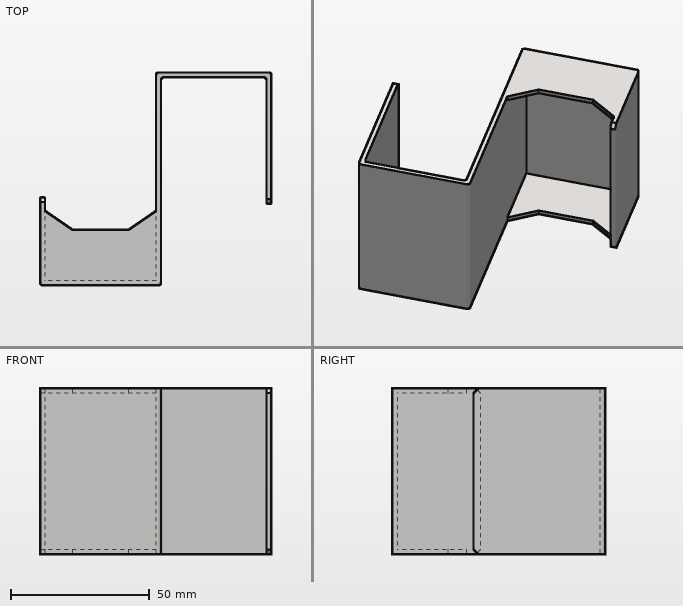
import cadquery as cq

width = 83.4
depth = 76.8
height = 60.0

wall = 1.8
tray_inner_width = 39.95
tray_width = tray_inner_width + 2 * wall
tray_lip_y = 31.8
hook_lip_y = 29.35
outer_corner_radius = 1.0
inner_corner_radius = 1.0
lip_edge_radius = 0.7
lip_corner_chamfer = 1.75

plate_thickness = 1.75
plate_side_y = 28.1
plate_notch_y = 20.1
plate_notch_inset = 11.7

middle_left = tray_width - wall
hook_inner_right = width - wall
hook_inner_y = depth - wall


def edge_at(x, y):
    """Select the vertical edge standing at one point of the outline."""
    tolerance = 0.04
    return cq.selectors.BoxSelector(
        (x - tolerance, y - tolerance, -0.8),
        (x + tolerance, y + tolerance, height + 0.8),
    )


def round_edges(body, points, radius):
    for x, y in points:
        body = body.edges("|Z").edges(edge_at(x, y)).fillet(radius)
    return body


def chamfer_lip(body, x_start, lip_y, selector):
    """Cut the top and bottom corners of a free lip."""
    lip_face = cq.selectors.BoxSelector(
        (x_start - 0.1, lip_y - 0.1, -0.8),
        (x_start + wall + 0.1, lip_y + 0.1, height + 0.8),
    )
    return body.faces(selector).edges(lip_face).edges("|X").chamfer(lip_corner_chamfer)


def bent_sheet():
    outline = [
        (0, 0),
        (tray_width, 0),
        (tray_width, hook_inner_y),
        (hook_inner_right, hook_inner_y),
        (hook_inner_right, hook_lip_y),
        (width, hook_lip_y),
        (width, depth),
        (middle_left, depth),
        (middle_left, wall),
        (wall, wall),
        (wall, tray_lip_y),
        (0, tray_lip_y),
    ]
    sheet = cq.Workplane("XY").polyline(outline).close().extrude(height)

    for x_start, lip_y in [(0, tray_lip_y), (hook_inner_right, hook_lip_y)]:
        for end_face in [">Z", "<Z"]:
            sheet = chamfer_lip(sheet, x_start, lip_y, end_face)

    outer_corners = [(0, 0), (tray_width, 0), (middle_left, depth), (width, depth)]
    inner_corners = [(tray_width, hook_inner_y), (hook_inner_right, hook_inner_y)]
    lip_edges = [
        (0, tray_lip_y),
        (wall, tray_lip_y),
        (hook_inner_right, hook_lip_y),
        (width, hook_lip_y),
    ]
    sheet = round_edges(sheet, outer_corners, outer_corner_radius)
    sheet = round_edges(sheet, inner_corners, inner_corner_radius)
    return round_edges(sheet, lip_edges, lip_edge_radius)


def end_plate(z):
    """Plate spanning the tray, its rear edge cut back by a tapered notch."""
    outline = [
        (0, 0),
        (tray_width, 0),
        (tray_width, plate_side_y),
        (tray_width - plate_notch_inset, plate_notch_y),
        (plate_notch_inset, plate_notch_y),
        (0, plate_side_y),
    ]
    plate = (
        cq.Workplane("XY")
        .workplane(offset=z)
        .polyline(outline)
        .close()
        .extrude(plate_thickness)
    )
    return round_edges(plate, [(0, 0), (tray_width, 0)], outer_corner_radius)


result = bent_sheet()
for plate_z in [0, height - plate_thickness]:
    result = result.union(end_plate(plate_z), clean=False)